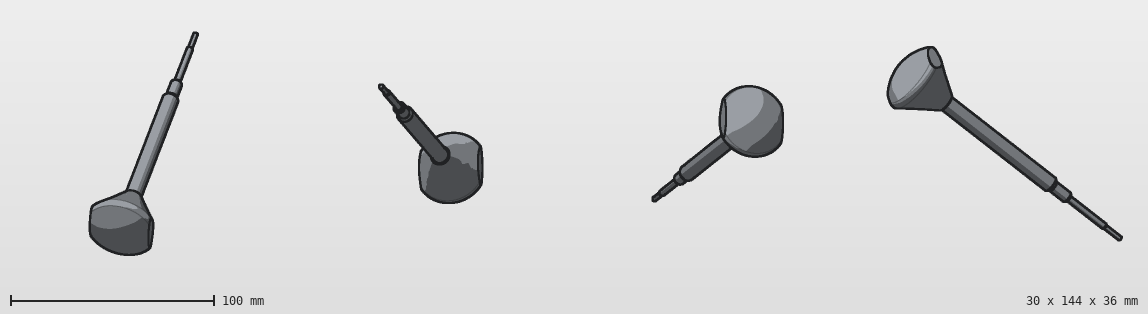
import cadquery as cq
import math

total_length = 144.0

blade_start = 10.5
collar_start = 34.0
collar_end = 43.9
handle_start = 45.6
knob_start = 114.0

tip_radius = 1.2
blade_radius = 1.6
collar_radius = 2.9
handle_radius = 4.0
knob_neck_radius = 4.8
blade_chamfer = blade_radius - tip_radius
collar_chamfer = 0.9
collar_chamfer_depth = 0.6

knob_radius = 18.0
rim_radius = 3.0
dome_radius = 25.0
flank_angle = math.radians(35)
flat_spacing = 30.0

rim_center_r = knob_radius - rim_radius
dome_center = total_length - dome_radius
rim_center = dome_center + math.sqrt((dome_radius - rim_radius) ** 2 - rim_center_r**2)
dome_edge_angle = math.asin(rim_center_r / (dome_radius - rim_radius))


def profile_point(radius, station):
    """Point of the half profile, with Y zero at the middle of the tool's length."""
    return (radius, total_length / 2 - station)


def dome_point(angle):
    return profile_point(dome_radius * math.sin(angle), dome_center + dome_radius * math.cos(angle))


def make_shaft():
    """Stepped tip, blade, collar and handle, running into the knob."""
    steps = [
        (0, 0),
        (tip_radius, 0),
        (tip_radius, blade_start - blade_chamfer),
        (blade_radius, blade_start),
        (blade_radius, collar_start),
        (collar_radius - collar_chamfer_depth, collar_start),
        (collar_radius, collar_start + collar_chamfer),
        (collar_radius, collar_end),
        (handle_radius, handle_start),
        (handle_radius, knob_start),
        (0, knob_start),
    ]
    outline = cq.Workplane("XY").polyline([profile_point(*step) for step in steps]).close()
    return outline.revolve(360, (0, 0, 0), (0, 1, 0))


def make_knob():
    """Turned knob, trimmed by a flat on each X side."""
    rim_outermost = profile_point(knob_radius, rim_center)
    flank_end = profile_point(
        rim_center_r + rim_radius * math.cos(flank_angle),
        rim_center - rim_radius * math.sin(flank_angle),
    )
    outline = (
        cq.Workplane("XY")
        .moveTo(*profile_point(0, total_length))
        .threePointArc(dome_point(dome_edge_angle / 2), dome_point(dome_edge_angle))
        .threePointArc(rim_outermost, flank_end)
        .tangentArcPoint(profile_point(knob_neck_radius, knob_start), relative=False)
        .lineTo(*profile_point(0, knob_start))
        .close()
    )
    turned = outline.revolve(360, (0, 0, 0), (0, 1, 0))
    between_flats = cq.Workplane("XY").box(flat_spacing, 2 * total_length, 2 * total_length)
    return turned.intersect(between_flats)


result = make_shaft().union(make_knob())